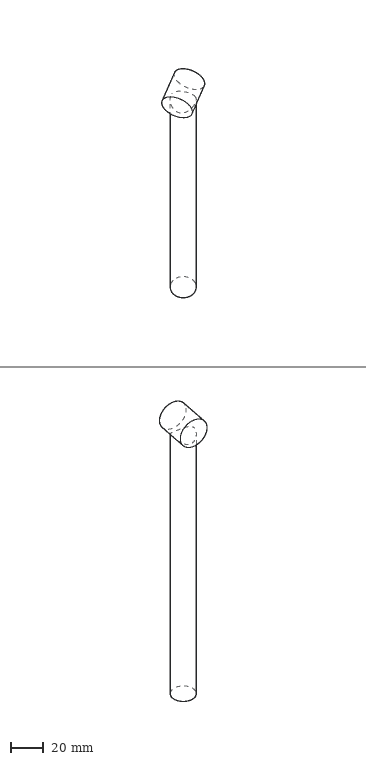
import cadquery as cq

overall_height = 216.0
head_diameter = 20.0
head_length = 22.5
rod_diameter = 16.0

rod_length = overall_height - head_diameter / 2


def make_head():
    """Cross cylinder along Y, centred on the rod axis."""
    return cq.Workplane("XZ").circle(head_diameter / 2).extrude(head_length / 2, both=True)


def make_rod():
    """Round rod from the head axis down to the free end."""
    return cq.Workplane("XY").circle(rod_diameter / 2).extrude(-rod_length)


result = make_head().union(make_rod())